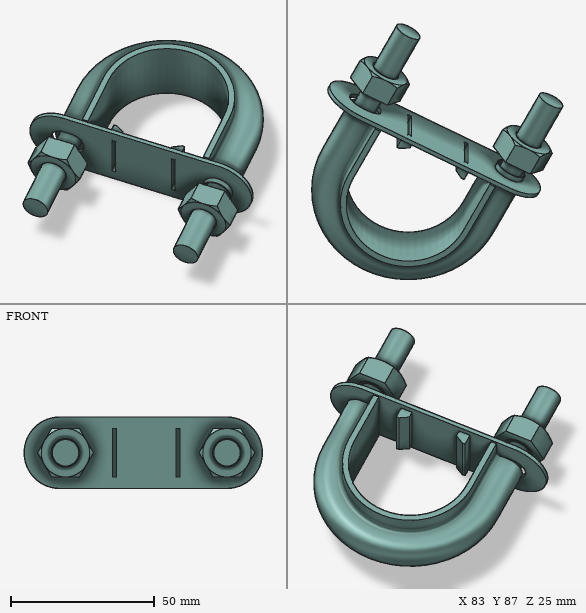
import cadquery as cq
import math


leg_offset = 28.1
neck_diameter = 8.2
thread_diameter = 9.2
bolt_end_y = -53.3

width = 25.0
strap_inner_radius = 21.6
strap_thickness = 2.1
rib_radius = 5.6
rib_root_fillet = 1.7
bolt_bore_diameter = 8.35
saddle_end_y = -20.0

plate_length = 83.0
plate_thickness = 1.5
plate_centre_x = -1.05
plate_gap = 0.5
bolt_hole_diameter = 10.0
collar_diameter = 10.8
collar_height = 1.9
slot_length = 12.35
slot_centre_x = -28.45

tooth_offset = 11.1
tooth_width = 4.2
tooth_length = 20.45
tooth_height = 4.0
tooth_low_height = 2.2
tooth_tip_flat = 1.05
tooth_slot_width = 1.4
tooth_slot_length = 16.9
tooth_roof = 1.05

nut_across_flats = 16.9
nut_height = 8.0
nut_countersink_diameter = 10.0
nut_boss_diameter = 10.8
nut_boss_height = 0.2
nut_chamfer_angle = 30.0
nut_top_y = -28.45

plate_top_y = saddle_end_y - plate_gap
plate_bottom_y = plate_top_y - plate_thickness
collar_x = plate_centre_x + plate_length / 2 - width / 2


def bar_along_y(x, diameter, y_high, y_low):
    """Round bar parallel to Y at z = 0."""
    bar = cq.Workplane("XZ", origin=(x, y_high, 0)).circle(diameter / 2)
    return bar.extrude(y_high - y_low)


def bent_bar(radius, y_end):
    """Round bar bent into the U shape, with both legs ending at y_end."""
    path = (
        cq.Workplane("XY")
        .moveTo(-leg_offset, y_end)
        .lineTo(-leg_offset, 0)
        .threePointArc((0, leg_offset), (leg_offset, 0))
        .lineTo(leg_offset, y_end)
    )
    return cq.Workplane("XZ", origin=(-leg_offset, y_end, 0)).circle(radius).sweep(path)


def saddle_section(side):
    """Strap and rib section in the XZ plane, on the side (+1 or -1) of the arch centre."""
    inner = side * strap_inner_radius
    outer = side * (strap_inner_radius + strap_thickness)
    fillet_end = outer + side * rib_root_fillet
    rib_top = side * (leg_offset + rib_radius)
    nose = side * leg_offset
    half_width = width / 2
    root = rib_radius + rib_root_fillet
    diagonal = rib_root_fillet * (1 - math.sqrt(0.5))
    fillet_mid = (outer + side * diagonal, rib_radius + diagonal)
    return (
        cq.Workplane("XZ")
        .moveTo(inner, -half_width)
        .lineTo(inner, half_width)
        .lineTo(outer, half_width)
        .lineTo(outer, root)
        .threePointArc(fillet_mid, (fillet_end, rib_radius))
        .lineTo(nose, rib_radius)
        .threePointArc((rib_top, 0), (nose, -rib_radius))
        .lineTo(fillet_end, -rib_radius)
        .threePointArc((fillet_mid[0], -fillet_mid[1]), (outer, -root))
        .lineTo(outer, -half_width)
        .close()
    )


def make_saddle():
    body = saddle_section(1).revolve(180, (0, 0, 0), (0, 1, 0))
    for side in (-1, 1):
        body = body.union(saddle_section(side).extrude(-saddle_end_y))
    return body.cut(bent_bar(bolt_bore_diameter / 2, saddle_end_y))


def make_u_bolt():
    bolt = bent_bar(neck_diameter / 2, nut_top_y)
    for side in (-1, 1):
        bolt = bolt.union(bar_along_y(side * leg_offset, thread_diameter, nut_top_y, bolt_end_y))
    return bolt


def tooth(side):
    """Slanted tooth on the plate, highest on the outer side."""
    outer_x = side * (tooth_offset + tooth_width / 2)
    inner_x = side * (tooth_offset - tooth_width / 2)
    tip_x = outer_x - side * tooth_tip_flat
    return (
        cq.Workplane("XY", origin=(0, 0, -tooth_length / 2))
        .moveTo(outer_x, plate_top_y)
        .lineTo(outer_x, plate_top_y + tooth_height)
        .lineTo(tip_x, plate_top_y + tooth_height)
        .lineTo(inner_x, plate_top_y + tooth_low_height)
        .lineTo(inner_x, plate_top_y)
        .close()
        .extrude(tooth_length)
    )


def tooth_slot(side):
    """Slot from below into a tooth, its end parallel to the slanted tooth face."""
    slope = (tooth_height - tooth_low_height) / (tooth_width - tooth_tip_flat)
    inner_edge = tooth_offset - tooth_slot_width / 2
    outer_edge = tooth_offset + tooth_slot_width / 2
    inner_run = (tooth_width - tooth_slot_width) / 2
    inner_roof_y = plate_top_y + tooth_low_height + slope * inner_run - tooth_roof
    outer_roof_y = inner_roof_y + slope * tooth_slot_width
    return (
        cq.Workplane("XY", origin=(0, 0, -tooth_slot_length / 2))
        .moveTo(side * inner_edge, plate_bottom_y)
        .lineTo(side * inner_edge, inner_roof_y)
        .lineTo(side * outer_edge, outer_roof_y)
        .lineTo(side * outer_edge, plate_bottom_y)
        .close()
        .extrude(tooth_slot_length)
    )


def make_plate():
    plate = (
        cq.Workplane("XZ", origin=(plate_centre_x, plate_top_y, 0))
        .slot2D(plate_length, width)
        .extrude(plate_thickness)
    )
    collar_end_y = plate_bottom_y - collar_height
    plate = plate.union(bar_along_y(collar_x, collar_diameter, plate_bottom_y, collar_end_y))
    plate = plate.cut(bar_along_y(collar_x, bolt_hole_diameter, plate_top_y, collar_end_y))
    bolt_slot = (
        cq.Workplane("XZ", origin=(slot_centre_x, plate_top_y, 0))
        .slot2D(slot_length, bolt_hole_diameter)
        .extrude(plate_thickness)
    )
    plate = plate.cut(bolt_slot)
    for side in (-1, 1):
        plate = plate.union(tooth(side)).cut(tooth_slot(side))
    return plate


def make_nut(x):
    """Hexagon nut with a thin boss towards the plate and a chamfered far face.

    The bore fits the thread and is countersunk at 45 degrees on the far face.
    """
    corner_radius = nut_across_flats / math.sqrt(3)
    flat_radius = nut_across_flats / 2
    nut_bottom_y = nut_top_y - nut_height
    hexagon = (
        cq.Workplane("XZ", origin=(x, nut_top_y, 0))
        .polygon(6, 2 * corner_radius)
        .extrude(nut_height)
    )
    chamfer_height = (corner_radius - flat_radius) * math.tan(math.radians(nut_chamfer_angle))
    chamfer_envelope = (
        cq.Workplane("XY", origin=(x, 0, 0))
        .moveTo(0, nut_top_y)
        .lineTo(corner_radius, nut_top_y)
        .lineTo(corner_radius, nut_bottom_y + chamfer_height)
        .lineTo(flat_radius, nut_bottom_y)
        .lineTo(0, nut_bottom_y)
        .close()
        .revolve(360, (0, 0, 0), (0, 1, 0))
    )
    boss_end_y = nut_top_y + nut_boss_height
    nut = hexagon.intersect(chamfer_envelope)
    nut = nut.union(bar_along_y(x, nut_boss_diameter, boss_end_y, nut_top_y))
    countersink_depth = (nut_countersink_diameter - thread_diameter) / 2
    countersink = (
        cq.Workplane("XZ", origin=(x, nut_bottom_y, 0))
        .circle(nut_countersink_diameter / 2)
        .workplane(offset=-countersink_depth)
        .circle(thread_diameter / 2)
        .loft()
    )
    return nut.cut(bar_along_y(x, thread_diameter, boss_end_y, nut_bottom_y)).cut(countersink)


saddle = make_saddle()
u_bolt = make_u_bolt()
plate = make_plate()
nuts = [make_nut(side * leg_offset) for side in (-1, 1)]

result = cq.Compound.makeCompound(
    [saddle.val(), u_bolt.val(), plate.val(), *[nut.val() for nut in nuts]]
)